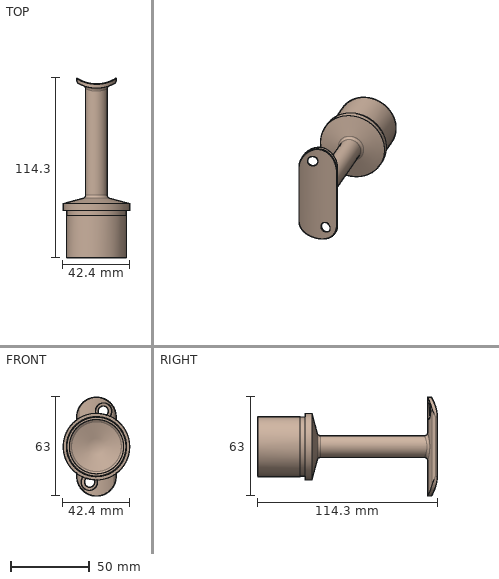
import cadquery as cq
import math


total_length = 114.3

socket_diameter = 38.3
groove_diameter = 38.0
bore_diameter = 34.5
flange_diameter = 42.4
socket_length = 27.0
groove_width = 3.2
flange_width = 4.5
rim_chamfer = 0.5
floor_thickness = 3.0
floor_fillet = 2.0

rod_diameter = 14.0
cone_angle = 15.0
cone_fillet = 2.0

pick_margin = 0.6

saddle_width = 25.3
saddle_height = 63.0
saddle_inner_radius = 23.1
saddle_outer_radius = 24.6
saddle_thickness = 2.7
saddle_edge_fillet = 2.6
saddle_rim_chamfer = 0.4
rod_to_saddle_fillet = 2.0

screw_hole_diameter = 6.5
counterbore_diameter = 10.5
counterbore_depth = 1.8
screw_hole_angle = 11.2
screw_hole_height = 22.5

cone_slope = math.tan(math.radians(cone_angle))
flange_start = socket_length + groove_width
flange_end = flange_start + flange_width
inner_sag = saddle_inner_radius - math.sqrt(saddle_inner_radius**2 - (saddle_width / 2) ** 2)
rim_loss = saddle_rim_chamfer * saddle_width / 2 / saddle_inner_radius
sharp_tip = total_length + rim_loss
saddle_bottom = sharp_tip - inner_sag - saddle_thickness
inner_axis = saddle_bottom + saddle_thickness + saddle_inner_radius
outer_axis = saddle_bottom + saddle_outer_radius


def cone_height(radius):
    """Y of the outer cone surface at a given radius."""
    return flange_end + (flange_diameter / 2 - radius) * cone_slope


def turned_body():
    """Socket, flange, cone and rod as one solid of revolution."""
    rod_radius = rod_diameter / 2
    rod_end = saddle_bottom + saddle_thickness / 2
    body = (
        cq.Workplane("XY")
        .lineTo(socket_diameter / 2 - rim_chamfer, 0)
        .lineTo(socket_diameter / 2, rim_chamfer)
        .lineTo(socket_diameter / 2, socket_length)
        .lineTo(groove_diameter / 2, socket_length)
        .lineTo(groove_diameter / 2, flange_start)
        .lineTo(flange_diameter / 2, flange_start)
        .lineTo(flange_diameter / 2, flange_end)
        .lineTo(rod_radius, cone_height(rod_radius))
        .lineTo(rod_radius, rod_end)
        .lineTo(0, rod_end)
        .close()
        .revolve(360, (0, 0, 0), (0, 1, 0))
    )
    corner_y = cone_height(rod_radius)
    corner = cq.selectors.BoxSelector(
        (-rod_radius, corner_y - pick_margin, -rod_radius),
        (rod_radius, corner_y + pick_margin, rod_radius),
    )
    return body.edges("%CIRCLE").edges(corner).fillet(cone_fillet)


def socket_bore():
    """Blind bore with a conical floor parallel to the outer cone."""
    bore_radius = bore_diameter / 2
    floor_drop = floor_thickness / math.cos(math.radians(cone_angle))
    bore = (
        cq.Workplane("XY")
        .lineTo(bore_radius, 0)
        .lineTo(bore_radius, cone_height(bore_radius) - floor_drop)
        .lineTo(0, cone_height(0) - floor_drop)
        .close()
        .revolve(360, (0, 0, 0), (0, 1, 0))
    )
    return bore.edges("%CIRCLE").edges(">Y").fillet(floor_fillet)


def upright_cylinder(radius, axis_y):
    """Cylinder along Z, centred on Z = 0 and as tall as the saddle."""
    return cq.Workplane("XY").center(0, axis_y).circle(radius).extrude(saddle_height / 2, both=True)


def saddle():
    """Curved plate with round ends, rounded outer long edges and a chamfered inner rim."""
    strip = (
        cq.Workplane("XY")
        .box(saddle_width, 2 * saddle_outer_radius, saddle_height)
        .translate((0, sharp_tip - saddle_outer_radius, 0))
    )
    plate = upright_cylinder(saddle_outer_radius, outer_axis).intersect(strip)
    plate = plate.edges("|Z").edges("<Y").fillet(saddle_edge_fillet)
    plate = plate.cut(upright_cylinder(saddle_inner_radius, inner_axis))
    outline = (
        cq.Workplane("XZ")
        .slot2D(saddle_height, saddle_width, 90)
        .extrude(-2 * total_length)
    )
    plate = plate.intersect(outline)
    inner_face = cq.selectors.NearestToPointSelector((0, total_length, 0))
    return plate.faces(inner_face).edges().chamfer(saddle_rim_chamfer)


def screw_hole(side):
    """Counterbored hole square to the outer face; side is +1 (upper) or -1 (lower)."""
    angle = math.radians(screw_hole_angle)
    inward = cq.Vector(-side * math.sin(angle), math.cos(angle), 0)
    axis_point = cq.Vector(0, outer_axis, side * screw_hole_height)
    seat = axis_point - inward * (saddle_outer_radius - counterbore_depth)
    hole = cq.Solid.makeCylinder(screw_hole_diameter / 2, 2 * saddle_thickness, seat, inward)
    counterbore = cq.Solid.makeCylinder(
        counterbore_diameter / 2, 2 * saddle_thickness, seat, inward * -1
    )
    return cq.Workplane(hole.fuse(counterbore))


def joint_edges():
    """Region around the seam between rod and saddle."""
    reach = rod_diameter / 2 + pick_margin
    return cq.selectors.BoxSelector(
        (-reach, saddle_bottom - pick_margin, -reach),
        (reach, saddle_bottom + saddle_thickness / 2, reach),
    )


result = turned_body().union(saddle())
result = result.edges(joint_edges()).fillet(rod_to_saddle_fillet)
result = result.cut(socket_bore())
for side in (1, -1):
    result = result.cut(screw_hole(side))